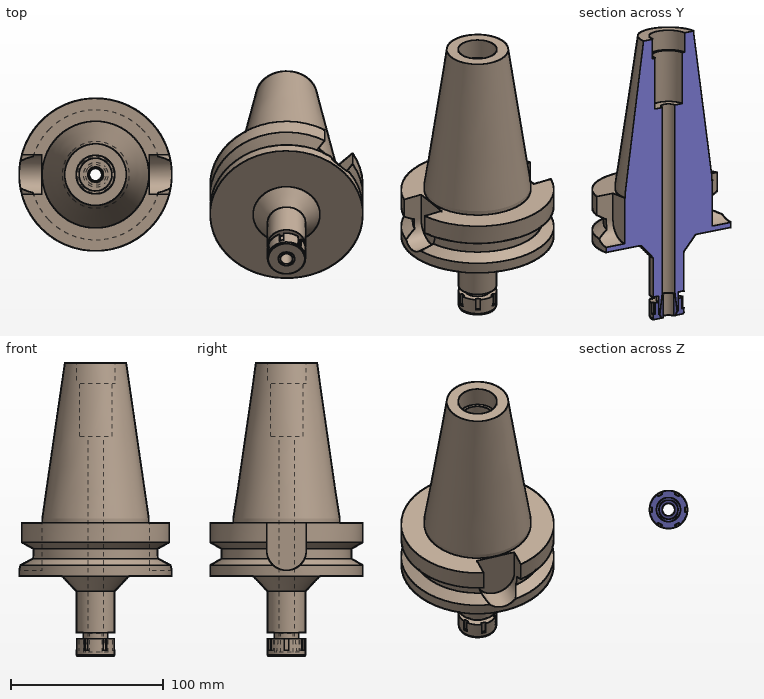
import cadquery as cq
import math


total_height = 191.8
nose_bottom_z = 2.9
neck_bottom_z = 15.5
shoulder_bottom_z = 42.4
flange_bottom_z = 52.4
flange_thickness = 35.0
collar_height = 2.9
flange_top_z = flange_bottom_z + flange_thickness
taper_bottom_z = flange_top_z + collar_height

nose_radius = 8.0
neck_radius = 12.5
shoulder_radius = 21.9
flange_radius = 100.0 / 2
taper_large_radius = 35.0
taper_small_radius = 20.1

groove_floor_radius = 42.5
groove_floor_bottom_z = 63.9
groove_floor_width = 6.3
groove_flank_angle = 30.0
groove_flank_height = (flange_radius - groove_floor_radius) * math.tan(math.radians(groove_flank_angle))
groove_floor_top_z = groove_floor_bottom_z + groove_floor_width

drive_slot_width = 25.9
drive_slot_floor_x = 35.3
drive_slot_bottom_z = 56.2
drive_slot_radius = drive_slot_width / 2

counterbore_radius = 12.7
counterbore_depth = 13.2
thread_bore_radius = 10.7
thread_bore_depth = 48.0
through_bore_radius = 5.0

collet_half_angle = 8.0
collet_back_radius = through_bore_radius
collet_large_radius = 6.7
collet_front_radius = 5.4
collet_bore_radius = 4.0
collet_back_z = nose_bottom_z + (collet_large_radius - collet_back_radius) / math.tan(
    math.radians(collet_half_angle))

nut_height = 11.5
nut_radius = neck_radius
nut_chamfer_width = 0.5
nut_chamfer_height = 1.2
wrench_slot_count = 6
wrench_slot_width = 2.9
wrench_slot_depth = 1.5
wrench_slot_bottom_z = 4.0


def revolve_profile(points):
    """Turn a closed (radius, z) outline about the Z axis."""
    return cq.Workplane("XZ").polyline(points).close().revolve(360, (0, 0, 0), (0, 1, 0))


def cylinder(radius, bottom_z, height):
    """Upright cylinder on the Z axis."""
    return cq.Workplane("XY").workplane(offset=bottom_z).circle(radius).extrude(height)


def make_collet_envelope():
    """Outside shape of the collet, also used to cut its seats."""
    return revolve_profile([
        (0, 0),
        (collet_front_radius, 0),
        (collet_large_radius, nose_bottom_z),
        (collet_back_radius, collet_back_z),
        (0, collet_back_z),
    ])


def make_drive_slot(side):
    """Round-bottomed slot, open at the top and outward, on the +X or -X side."""
    center_z = drive_slot_bottom_z + drive_slot_radius
    return (
        cq.Workplane("YZ", origin=(side * drive_slot_floor_x, 0, 0))
        .moveTo(-drive_slot_radius, flange_top_z)
        .lineTo(-drive_slot_radius, center_z)
        .threePointArc((0, drive_slot_bottom_z), (drive_slot_radius, center_z))
        .lineTo(drive_slot_radius, flange_top_z)
        .close()
        .extrude(side * flange_radius)
    )


def make_holder():
    """Machine taper, grooved flange, neck and nose with the bores down the middle."""
    holder = revolve_profile([
        (0, nose_bottom_z),
        (nose_radius, nose_bottom_z),
        (nose_radius, neck_bottom_z),
        (neck_radius, neck_bottom_z),
        (neck_radius, shoulder_bottom_z),
        (shoulder_radius, flange_bottom_z),
        (flange_radius, flange_bottom_z),
        (flange_radius, groove_floor_bottom_z - groove_flank_height),
        (groove_floor_radius, groove_floor_bottom_z),
        (groove_floor_radius, groove_floor_top_z),
        (flange_radius, groove_floor_top_z + groove_flank_height),
        (flange_radius, flange_top_z),
        (taper_large_radius, flange_top_z),
        (taper_large_radius, taper_bottom_z),
        (taper_small_radius, total_height),
        (0, total_height),
    ])
    for side in (-1, 1):
        holder = holder.cut(make_drive_slot(side))

    bores = [
        (counterbore_radius, counterbore_depth),
        (thread_bore_radius, thread_bore_depth),
        (through_bore_radius, total_height),
    ]
    for radius, depth in bores:
        holder = holder.cut(cylinder(radius, total_height - depth, depth))
    return holder.cut(make_collet_envelope())


def make_nut():
    """Ring around the nose with a chamfered face and wrench slots open at the top."""
    nut = revolve_profile([
        (0, 0),
        (nut_radius - nut_chamfer_width, 0),
        (nut_radius, nut_chamfer_height),
        (nut_radius, nut_height),
        (0, nut_height),
    ])
    nut = nut.cut(cylinder(nose_radius, nose_bottom_z, nut_height - nose_bottom_z))
    nut = nut.cut(make_collet_envelope())

    wrench_slot = (
        cq.Workplane("XY")
        .workplane(offset=wrench_slot_bottom_z)
        .center(nut_radius, 0)
        .rect(2 * wrench_slot_depth, wrench_slot_width)
        .extrude(nut_height - wrench_slot_bottom_z)
    )
    for index in range(wrench_slot_count):
        angle = index * 360 / wrench_slot_count
        nut = nut.cut(wrench_slot.rotate((0, 0, 0), (0, 0, 1), angle))
    return nut


def make_collet():
    """Double-cone sleeve with a straight bore for the tool."""
    return make_collet_envelope().cut(cylinder(collet_bore_radius, 0, collet_back_z))


holder = make_holder()
nut = make_nut()
collet = make_collet()

bodies = [holder, nut, collet]
result = cq.Compound.makeCompound([body.solids().val() for body in bodies])